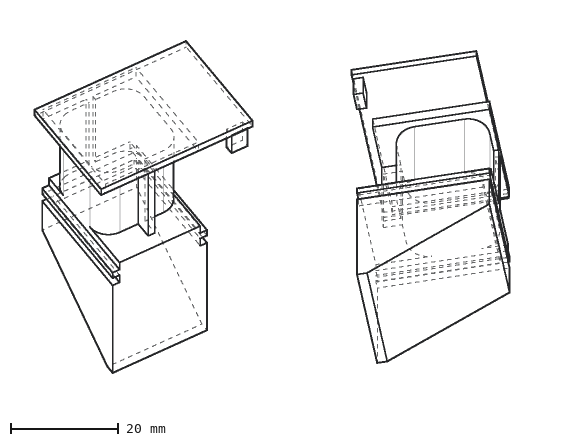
import cadquery as cq

height = 50.6
body_length = 25.0
body_width = 20.55

bevel_top = 16.1
block_top = 24.0
neck_top = 25.95
flange_top = 27.5
step_top = 29.4
cap_bottom = 46.45
plate_bottom = 49.0

toe_length = 1.9
neck_inset = 1.5

column_side = 17.55
column_start = 0.95
column_radius = 4.05

web_thickness = 1.45
cap_length = 22.05
cap_width = 20.25

plate_start = 0.5
plate_length = 23.6
plate_width = 33.0
plate_offset = 4.25

tab_length = 1.8
tab_width = 3.5
tab_height = 4.95
tab_side_gap = 0.95


def slab(x_start, x_end, width, z_bottom, z_top, y_center=0):
    """Box between two X positions and two levels, centred on y_center."""
    return (
        cq.Workplane("XY")
        .box(x_end - x_start, width, z_top - z_bottom, centered=(False, True, False))
        .translate((x_start, y_center, z_bottom))
    )


def tapered_block():
    """Lower block with a sloping underside that ends in a narrow flat toe."""
    return (
        cq.Workplane("XZ")
        .moveTo(0, block_top)
        .lineTo(0, bevel_top)
        .lineTo(body_length - toe_length, 0)
        .lineTo(body_length, 0)
        .lineTo(body_length, block_top)
        .close()
        .extrude(body_width / 2, both=True)
    )


def column():
    """Rounded square column crossed by a thin lengthwise web."""
    core = slab(column_start, column_start + column_side, column_side, step_top, cap_bottom)
    core = core.edges("|Z").fillet(column_radius)
    web = slab(0, cap_length, web_thickness, step_top, cap_bottom)
    return core.union(web)


def tab():
    """Tab beside the end of the cap, near the plate's +Y edge."""
    y_center = plate_offset + plate_width / 2 - tab_side_gap - tab_width / 2
    return slab(
        cap_length, cap_length + tab_length, tab_width,
        plate_bottom - tab_height, plate_bottom, y_center,
    )


neck = slab(neck_inset, body_length, column_side, block_top, neck_top)
flange = slab(0, body_length, body_width, neck_top, flange_top)
step = slab(0, body_length, column_side, flange_top, step_top)
cap = slab(0, cap_length, cap_width, cap_bottom, plate_bottom)
plate = slab(
    plate_start, plate_start + plate_length, plate_width, plate_bottom, height, plate_offset
)

result = tapered_block()
for piece in (neck, flange, step, column(), cap, plate, tab()):
    result = result.union(piece)